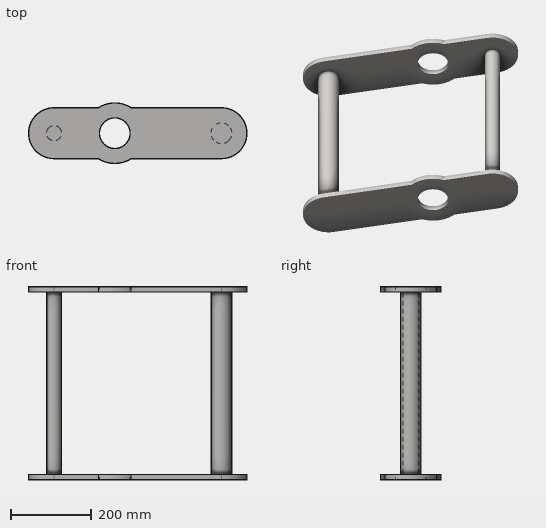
import cadquery as cq

plate_length = 546.0
plate_width = 128.0
plate_thickness = 13.5
collar_diameter = 152.0
hole_diameter = 76.0

total_height = 483.0
thin_rod_diameter = 37.5
thick_rod_diameter = 52.0

rod_spacing = plate_length - plate_width
thin_rod_x = -rod_spacing / 2
thick_rod_x = rod_spacing / 2
collar_offset = 152.0
collar_x = thin_rod_x + collar_offset


def make_plate(bottom_z):
    """Rounded bar with its collar and hole, resting at bottom_z."""
    base = cq.Workplane("XY", origin=(0, 0, bottom_z))
    bar = base.slot2D(plate_length, plate_width).extrude(plate_thickness)
    collar = base.center(collar_x, 0).circle(collar_diameter / 2).extrude(plate_thickness)
    hole = base.center(collar_x, 0).circle(hole_diameter / 2).extrude(plate_thickness)
    return bar.union(collar).cut(hole)


def make_rod(x, diameter):
    """Vertical rod spanning the gap between the plates."""
    rod_length = total_height - 2 * plate_thickness
    base = cq.Workplane("XY", origin=(x, 0, plate_thickness))
    return base.circle(diameter / 2).extrude(rod_length)


lower_plate = make_plate(0)
upper_plate = make_plate(total_height - plate_thickness)
thin_rod = make_rod(thin_rod_x, thin_rod_diameter)
thick_rod = make_rod(thick_rod_x, thick_rod_diameter)

result = lower_plate.union(thin_rod).union(thick_rod).union(upper_plate)